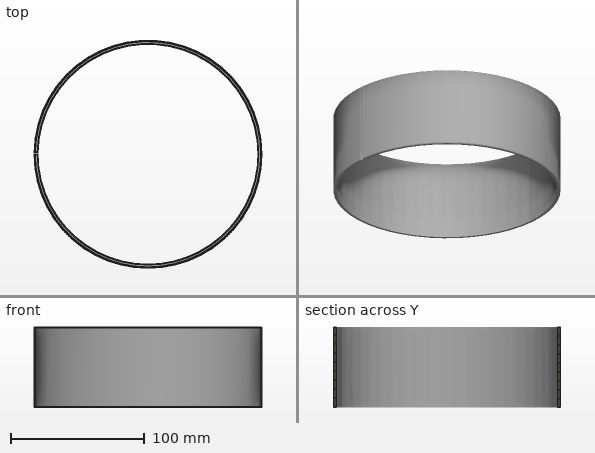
import cadquery as cq

outer_diameter = 170.0
wall = 2.5
height = 60.0
edge_chamfer = 0.5
slit_width = 1.5

outer_radius = outer_diameter / 2
inner_radius = outer_radius - wall

body = cq.Workplane("XY").cylinder(height, outer_radius)
body = body.faces("|Z").edges().chamfer(edge_chamfer)

bore = cq.Workplane("XY").cylinder(height, inner_radius)

slit = (
    cq.Workplane("XY")
    .box(4 * wall, slit_width, height)
    .translate((-outer_radius, slit_width / 2, 0))
)

result = body.cut(bore).cut(slit)